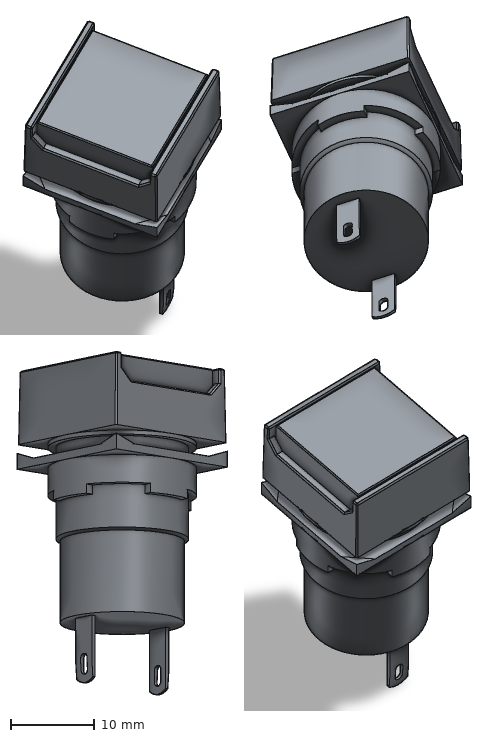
import cadquery as cq
import math

TOTAL_HEIGHT = 39.0
BODY_WIDTH = 17.9

BARREL_DIAMETER = 14.98
BARREL_BOTTOM = 8.05
NECK_DIAMETER = 16.0
NECK_STEP_BOTTOM = 18.0
NECK_STEP_TOP = 18.3
COLLAR_BOTTOM = 29.5
BEZEL_BOTTOM = 30.0

BEZEL_BOTTOM_WIDTH = 17.85
BEZEL_TOP_WIDTH = 17.6
BEZEL_CHAMFER = 0.2
POCKET_WIDTH = 15.68
POCKET_FLOOR = BEZEL_BOTTOM + (BEZEL_BOTTOM_WIDTH - POCKET_WIDTH) / 2

CUTOUT_FLOOR = 35.7
CUTOUT_FLOOR_WIDTH = 12.7
CUTOUT_SLOPE_TOP = CUTOUT_FLOOR + (POCKET_WIDTH - CUTOUT_FLOOR_WIDTH) / 2

LENS_WIDTH = 15.4
LENS_CHAMFER = 0.15

TERMINAL_OUTER_X = 6.2
TERMINAL_THICKNESS = 0.5
TERMINAL_TIP_THICKNESS = 0.3
TERMINAL_TAPER_TOP = 2.5
TERMINAL_WIDTH = 2.92
TERMINAL_TIP_RISE = 0.55
EYELET_WIDTH = 1.15
EYELET_BOTTOM = 1.0
EYELET_TOP = 3.55

NUT_BOTTOM = 22.45
NOTCH_HEIGHT = 1.15
TAB_WIDTH = 5.93
PLATE_BOTTOM = 27.0
PLATE_TOP = 27.95
CORNER_TOP = 28.95
CORNER_START = 6.0


def make_bezel():
    """Tapered square block with cutouts across its top, chamfered edges and the lens pocket."""
    height = TOTAL_HEIGHT - BEZEL_BOTTOM
    draft_angle = math.degrees(math.atan((BEZEL_BOTTOM_WIDTH - BEZEL_TOP_WIDTH) / 2 / height))
    block = (
        cq.Workplane("XY", origin=(0, 0, BEZEL_BOTTOM))
        .rect(BEZEL_BOTTOM_WIDTH, BEZEL_BOTTOM_WIDTH)
        .extrude(height, taper=draft_angle)
        .edges("not #Z")
        .chamfer(BEZEL_CHAMFER)
    )
    cutout = (
        cq.Workplane("XZ")
        .moveTo(-POCKET_WIDTH / 2, TOTAL_HEIGHT)
        .lineTo(-POCKET_WIDTH / 2, CUTOUT_SLOPE_TOP)
        .lineTo(-CUTOUT_FLOOR_WIDTH / 2, CUTOUT_FLOOR)
        .lineTo(CUTOUT_FLOOR_WIDTH / 2, CUTOUT_FLOOR)
        .lineTo(POCKET_WIDTH / 2, CUTOUT_SLOPE_TOP)
        .lineTo(POCKET_WIDTH / 2, TOTAL_HEIGHT)
        .close()
        .extrude(BODY_WIDTH / 2, both=True)
    )
    frame = block.cut(cutout)

    rim_edges = frame.faces(">Z").edges()
    for side in (-1, 1):
        cutout_edges = cq.selectors.BoxSelector(
            (-BODY_WIDTH / 2 + BEZEL_CHAMFER * 2, side * POCKET_WIDTH / 2, CUTOUT_FLOOR - BEZEL_CHAMFER),
            (BODY_WIDTH / 2 - BEZEL_CHAMFER * 2, side * BODY_WIDTH / 2, TOTAL_HEIGHT - BEZEL_CHAMFER),
        )
        rim_edges = rim_edges.add(frame.edges(cutout_edges))
    frame = rim_edges.chamfer(BEZEL_CHAMFER)

    pocket = (
        cq.Workplane("XY", origin=(0, 0, POCKET_FLOOR))
        .rect(POCKET_WIDTH, POCKET_WIDTH)
        .extrude(TOTAL_HEIGHT - POCKET_FLOOR)
    )
    return frame.cut(pocket)


def make_barrel():
    """Turned part of the housing: barrel, flared step, neck and collar."""
    return (
        cq.Workplane("XZ")
        .moveTo(0, BARREL_BOTTOM)
        .lineTo(BARREL_DIAMETER / 2, BARREL_BOTTOM)
        .lineTo(BARREL_DIAMETER / 2, NECK_STEP_BOTTOM)
        .lineTo(NECK_DIAMETER / 2, NECK_STEP_TOP)
        .lineTo(NECK_DIAMETER / 2, COLLAR_BOTTOM)
        .lineTo(BODY_WIDTH / 2, COLLAR_BOTTOM)
        .lineTo(BODY_WIDTH / 2, BEZEL_BOTTOM)
        .lineTo(0, BEZEL_BOTTOM)
        .close()
        .revolve(360, (0, 0), (0, 1))
    )


def make_terminal():
    """Flat solder terminal on the +X side, thinned at its rounded tip and pierced by an eyelet."""
    inner_x = TERMINAL_OUTER_X - TERMINAL_THICKNESS
    blade = (
        cq.Workplane("XZ")
        .moveTo(inner_x, 0)
        .lineTo(inner_x + TERMINAL_TIP_THICKNESS, 0)
        .lineTo(TERMINAL_OUTER_X, TERMINAL_TAPER_TOP)
        .lineTo(TERMINAL_OUTER_X, BARREL_BOTTOM)
        .lineTo(inner_x, BARREL_BOTTOM)
        .close()
        .extrude(TERMINAL_WIDTH / 2, both=True)
    )
    outline = (
        cq.Workplane("YZ")
        .moveTo(-TERMINAL_WIDTH / 2, BARREL_BOTTOM)
        .lineTo(-TERMINAL_WIDTH / 2, TERMINAL_TIP_RISE)
        .threePointArc((0, 0), (TERMINAL_WIDTH / 2, TERMINAL_TIP_RISE))
        .lineTo(TERMINAL_WIDTH / 2, BARREL_BOTTOM)
        .close()
        .extrude(TERMINAL_OUTER_X)
    )
    eyelet = (
        cq.Workplane("YZ")
        .center(0, (EYELET_BOTTOM + EYELET_TOP) / 2)
        .slot2D(EYELET_TOP - EYELET_BOTTOM, EYELET_WIDTH, 90)
        .extrude(TERMINAL_OUTER_X)
    )
    return blade.intersect(outline).cut(eyelet)


def make_housing():
    """Bezel, barrel and both terminals as one solid."""
    housing = make_barrel().union(make_bezel())
    terminal = make_terminal()
    for turn in (0, 180):
        housing = housing.union(terminal.rotate((0, 0, 0), (0, 0, 1), turn))
    return housing


def make_lens():
    """Square lens standing on the pocket floor with a narrow gap to the bezel walls."""
    return (
        cq.Workplane("XY", origin=(0, 0, POCKET_FLOOR))
        .rect(LENS_WIDTH, LENS_WIDTH)
        .extrude(TOTAL_HEIGHT - POCKET_FLOOR)
        .faces(">Z")
        .chamfer(LENS_CHAMFER)
    )


def make_raised_corner():
    """Pyramid that lifts the (+X, +Y) corner of the plate, rising from a diagonal crease."""
    half_width = BODY_WIDTH / 2
    crease_start = cq.Vector(half_width, CORNER_START, PLATE_TOP)
    crease_end = cq.Vector(CORNER_START, half_width, PLATE_TOP)
    corner = cq.Vector(half_width, half_width, PLATE_TOP)
    peak = cq.Vector(half_width, half_width, CORNER_TOP)
    triangles = (
        (crease_start, corner, crease_end),
        (crease_start, peak, corner),
        (corner, peak, crease_end),
        (crease_start, crease_end, peak),
    )
    faces = [cq.Face.makeFromWires(cq.Wire.makePolygon(points, close=True)) for points in triangles]
    return cq.Workplane(cq.Solid.makeSolid(cq.Shell.makeShell(faces)))


def make_mounting_ring():
    """Castellated nut and raised-corner square plate, fitted around the neck."""
    ring = (
        cq.Workplane("XY", origin=(0, 0, NUT_BOTTOM))
        .circle(BODY_WIDTH / 2)
        .extrude(PLATE_BOTTOM - NUT_BOTTOM)
    )
    plate = (
        cq.Workplane("XY", origin=(0, 0, PLATE_BOTTOM))
        .rect(BODY_WIDTH, BODY_WIDTH)
        .extrude(PLATE_TOP - PLATE_BOTTOM)
    )
    ring = ring.union(plate)

    raised_corner = make_raised_corner()
    notch = (
        cq.Workplane("XY", origin=(TAB_WIDTH / 2, TAB_WIDTH / 2, NUT_BOTTOM))
        .rect(BODY_WIDTH / 2, BODY_WIDTH / 2, centered=False)
        .extrude(NOTCH_HEIGHT)
    )
    for turn in (0, 90, 180, 270):
        ring = ring.union(raised_corner.rotate((0, 0, 0), (0, 0, 1), turn))
        ring = ring.cut(notch.rotate((0, 0, 0), (0, 0, 1), turn))

    neck_hole = (
        cq.Workplane("XY", origin=(0, 0, NUT_BOTTOM))
        .circle(NECK_DIAMETER / 2)
        .extrude(CORNER_TOP - NUT_BOTTOM)
    )
    return ring.cut(neck_hole)


housing = make_housing()
lens = make_lens()
mounting_ring = make_mounting_ring()

result = cq.Compound.makeCompound([housing.val(), lens.val(), mounting_ring.val()])